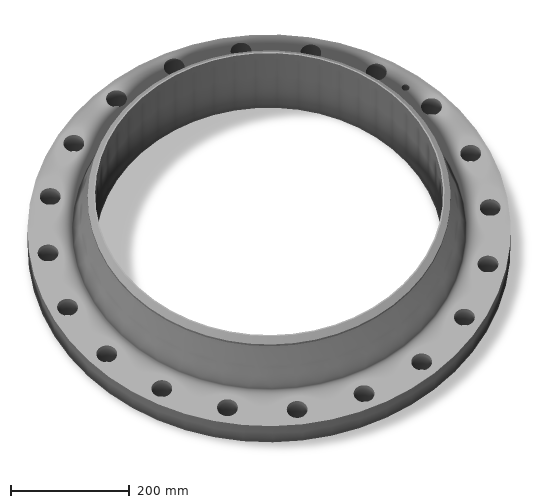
import cadquery as cq
import math

flange_radius = 406.0
flange_thickness = 46.0

face_diameter = 711.0
face_height = 6.5

total_height = 157.0
hub_base_radius = 331.5
hub_end_diameter = 610.0
hub_fillet = 3.0
land_height = 5.0

bore_radius = 292.5
root_face = 2.5
bevel_height = 10.0

bolt_count = 20
bolt_circle_radius = 375.0
bolt_hole_diameter = 35.0

blind_hole_diameter = 13.0
blind_hole_depth = 24.0

flange_top = face_height + flange_thickness
face_radius = face_diameter / 2
hub_end_radius = hub_end_diameter / 2
bolt_pitch = 360 / bolt_count
bevel_root_radius = bore_radius + root_face
bevel_start = total_height - bevel_height


def point_on_bolt_circle(angle):
    """Return the XY position on the bolt circle at an angle in degrees from +X."""
    turn = math.radians(angle)
    return (bolt_circle_radius * math.cos(turn), bolt_circle_radius * math.sin(turn))


def make_body():
    """Revolve the half section of face, flange and hub around Z."""
    section = [
        (bore_radius, 0),
        (face_radius, 0),
        (face_radius, face_height),
        (flange_radius, face_height),
        (flange_radius, flange_top),
        (hub_base_radius, flange_top),
        (hub_end_radius, bevel_start - land_height),
        (hub_end_radius, bevel_start),
        (bevel_root_radius, total_height),
        (bore_radius, total_height),
    ]
    axis_start = (0, 0)
    axis_end = (0, 1)
    return cq.Workplane("XZ").polyline(section).close().revolve(360, axis_start, axis_end)


def fillet_hub_base(body):
    """Round the inside corner where the hub meets the flange."""
    margin = 1.0
    corner = cq.selectors.BoxSelector(
        (-hub_base_radius - margin, -hub_base_radius - margin, flange_top - margin),
        (hub_base_radius + margin, hub_base_radius + margin, flange_top + margin),
        boundingbox=True,
    )
    return body.edges(corner).fillet(hub_fillet)


def drill_bolt_holes(body):
    """Drill the evenly spaced through holes, the first one on +X."""
    centres = [point_on_bolt_circle(i * bolt_pitch) for i in range(bolt_count)]
    drills = cq.Workplane("XY").pushPoints(centres).circle(bolt_hole_diameter / 2).extrude(flange_top)
    return body.cut(drills)


def drill_blind_hole(body):
    """Drill the small hole half a bolt pitch past +Y into the flange top."""
    centre = point_on_bolt_circle(90 + bolt_pitch / 2)
    drill = (
        cq.Workplane("XY", origin=(0, 0, flange_top))
        .center(*centre)
        .circle(blind_hole_diameter / 2)
        .extrude(-blind_hole_depth)
    )
    return body.cut(drill)


result = drill_blind_hole(drill_bolt_holes(fillet_hub_base(make_body())))